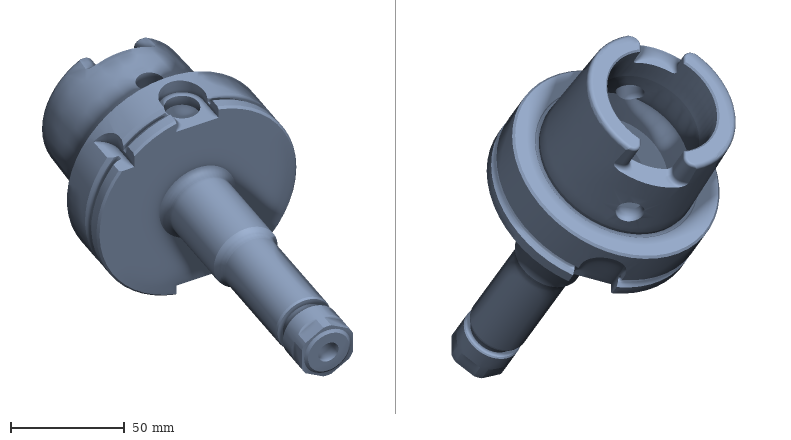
import cadquery as cq
import math


TAPER_TIP_R = 35.8
TAPER_END_R = 37.8
TAPER_END_X = 48.0
TIP_ROUND = 2.2
RELIEF_R = 37.5
RELIEF_FACE_R = 39.5
RELIEF_DEPTH = 0.5

FLANGE_R = 50.0
FLANGE_X = 49.5
FLANGE_END_X = 79.0
FLANGE_CHAMFER = 1.0
GROOVE_R = 46.2
GROOVE_LIP_R = 48.0
GROOVE_FLOOR_X = 68.8
GROOVE_FLOOR_END_X = 71.2
GROOVE_FRONT_FLARE = 1.5
GROOVE_REAR_WALL = 0.5
GROOVE_REAR_FLARE = 1.5

SHANK_R = 16.0
SHANK_X = 83.5
SHANK_END_X = 123.5
SHANK_ROOT_ARC = 5.0
NOSE_R = 13.8
NOSE_X = 129.5
NOSE_END_X = 177.8
NOSE_CHAMFER_LENGTH = 1.2
NOSE_CHAMFER_DROP = 0.5
NECK_R = 10.8

BORE_DIAMETER = 53.0
BORE_R = BORE_DIAMETER / 2
BORE_CHAMFER = 0.8
UNDERCUT_X = 20.0
UNDERCUT_R = 31.0
UNDERCUT_END_X = 40.0
BORE_FLOOR_X = 50.0
BORE_FLOOR_R = 24.8
POCKET_R = 10.5
POCKET_MOUTH_R = 12.5
POCKET_DEPTH = 12.0
COOLANT_R = 5.0
CROSS_HOLE_R = 6.5
CROSS_HOLE_X = 35.2

DRIVE_WIDTH = 20.8
DRIVE_TOP_DEPTH = 9.8
DRIVE_BOTTOM_DEPTH = 14.5
DRIVE_CORNER_Z = 31.5
DRIVE_CORNER_R = 4.0
DRIVE_FLOOR_FILLET = 2.2
DRIVE_EDGE_ROUND = 1.5

RIM_SLOT_WIDTH = 21.0
RIM_SLOT_R = RIM_SLOT_WIDTH / 2
RIM_SLOT_X = 64.8
RIM_SLOT_FLOOR_Z = 43.2
CHIP_HOLE_R = 8.0
CHIP_HOLE_DEPTH = 5.0
NOTCH_Y = -31.5
NOTCH_FLOOR_Z = 31.5

NUT_X = 182.8
NUT_END_X = 200.0
NUT_R = 13.8
NUT_CHAMFER = 0.5
NUT_RIM_X = 199.0
NUT_CONE_R = 11.5
NUT_FACE_R = 10.2
NUT_FLAT_COUNT = 6
NUT_FLAT_APOTHEM = 12.8
NUT_FLAT_X = 191.2
NUT_FLAT_HALF_WIDTH = 7.0

PAST = 4.0


def turned(profile):
    """Revolve a closed (x, radius) outline around the X axis."""
    return profile.close().revolve(360, (0, 0, 0), (1, 0, 0))


def holder_blank():
    """Taper, grooved flange and stepped front shank as one turned bar."""
    root_run = SHANK_X - FLANGE_END_X
    root_r = SHANK_R + SHANK_ROOT_ARC - math.sqrt(SHANK_ROOT_ARC**2 - root_run**2)
    step_run = NOSE_X - SHANK_END_X
    step_drop = SHANK_R - NOSE_R
    step_arc = (step_run**2 + step_drop**2) / (2 * step_drop)
    profile = (
        cq.Workplane("XY")
        .lineTo(0, TAPER_TIP_R)
        .lineTo(TAPER_END_X, TAPER_END_R)
        .lineTo(TAPER_END_X + RELIEF_DEPTH, RELIEF_R)
        .lineTo(FLANGE_X + RELIEF_DEPTH, RELIEF_R)
        .lineTo(FLANGE_X + RELIEF_DEPTH, RELIEF_FACE_R - RELIEF_DEPTH)
        .lineTo(FLANGE_X, RELIEF_FACE_R)
        .lineTo(FLANGE_X, FLANGE_R - FLANGE_CHAMFER)
        .lineTo(FLANGE_X + FLANGE_CHAMFER, FLANGE_R)
        .lineTo(GROOVE_FLOOR_X - GROOVE_FRONT_FLARE, FLANGE_R)
        .lineTo(GROOVE_FLOOR_X, GROOVE_LIP_R)
        .lineTo(GROOVE_FLOOR_X, GROOVE_R)
        .lineTo(GROOVE_FLOOR_END_X, GROOVE_R)
        .lineTo(GROOVE_FLOOR_END_X + GROOVE_REAR_WALL, GROOVE_LIP_R)
        .lineTo(GROOVE_FLOOR_END_X + GROOVE_REAR_WALL + GROOVE_REAR_FLARE, FLANGE_R)
        .lineTo(FLANGE_END_X - FLANGE_CHAMFER, FLANGE_R)
        .lineTo(FLANGE_END_X, FLANGE_R - FLANGE_CHAMFER)
        .lineTo(FLANGE_END_X, root_r)
        .radiusArc((SHANK_X, SHANK_R), -SHANK_ROOT_ARC)
        .lineTo(SHANK_END_X, SHANK_R)
        .radiusArc((NOSE_X, NOSE_R), -step_arc)
        .lineTo(NOSE_END_X - NOSE_CHAMFER_LENGTH, NOSE_R)
        .lineTo(NOSE_END_X, NOSE_R - NOSE_CHAMFER_DROP)
        .lineTo(NOSE_END_X, NECK_R)
        .lineTo(NUT_X, NECK_R)
        .lineTo(NUT_X, 0)
    )
    return turned(profile)


def holder_bore():
    """Clamping bore, chamfered floor pocket and coolant passage."""
    pocket_taper = POCKET_MOUTH_R - POCKET_R
    profile = (
        cq.Workplane("XY")
        .moveTo(-PAST, 0)
        .lineTo(-PAST, BORE_R + BORE_CHAMFER)
        .lineTo(0, BORE_R + BORE_CHAMFER)
        .lineTo(BORE_CHAMFER, BORE_R)
        .lineTo(UNDERCUT_X, BORE_R)
        .lineTo(UNDERCUT_END_X, UNDERCUT_R)
        .lineTo(BORE_FLOOR_X, BORE_FLOOR_R)
        .lineTo(BORE_FLOOR_X, POCKET_MOUTH_R)
        .lineTo(BORE_FLOOR_X + pocket_taper, POCKET_R)
        .lineTo(BORE_FLOOR_X + POCKET_DEPTH, POCKET_R)
        .lineTo(BORE_FLOOR_X + POCKET_DEPTH, COOLANT_R)
        .lineTo(NUT_X + PAST, COOLANT_R)
        .lineTo(NUT_X + PAST, 0)
    )
    return turned(profile)


def drive_slot(depth):
    """
    End slot on the +Z side, cut between two lands with rounded shoulders.

    A plate in front of the open end joins the slot cutter through a fillet, which rounds the
    edges of the lands.
    """
    half = DRIVE_WIDTH / 2
    straight_z = DRIVE_CORNER_Z - DRIVE_CORNER_R
    shoulder_y = half + DRIVE_CORNER_R
    mid_offset = DRIVE_CORNER_R * (1 - math.sqrt(0.5))
    mid_y = half + mid_offset
    mid_z = DRIVE_CORNER_Z - mid_offset
    reach = TAPER_END_R + PAST
    plate = cq.Workplane("XY").box(PAST, 2 * reach, reach, centered=False).translate((-PAST, -reach, 0))
    slot = (
        cq.Workplane("YZ")
        .moveTo(-half, 0)
        .lineTo(-half, straight_z)
        .threePointArc((-mid_y, mid_z), (-shoulder_y, DRIVE_CORNER_Z))
        .lineTo(-reach, DRIVE_CORNER_Z)
        .lineTo(-reach, reach)
        .lineTo(reach, reach)
        .lineTo(reach, DRIVE_CORNER_Z)
        .lineTo(shoulder_y, DRIVE_CORNER_Z)
        .threePointArc((mid_y, mid_z), (half, straight_z))
        .lineTo(half, 0)
        .close()
        .extrude(depth)
        .edges(">X and (not <Z) and (not >Z)")
        .fillet(DRIVE_FLOOR_FILLET)
    )
    edge_zone = cq.selectors.BoxSelector(
        (-DRIVE_EDGE_ROUND / 2, -TAPER_END_R, DRIVE_EDGE_ROUND), (DRIVE_EDGE_ROUND / 2, TAPER_END_R, reach)
    )
    return slot.union(plate).edges(edge_zone).fillet(DRIVE_EDGE_ROUND)


def turned_over(body):
    """Half a turn around the X axis, from the +Z side to the -Z side."""
    return body.rotate((0, 0, 0), (1, 0, 0), 180)


def rim_slot(center_y, floor_z):
    """Round-ended slot milled down from +Z and open at the rear of the flange."""
    height = FLANGE_R + PAST - floor_z
    run = FLANGE_END_X + PAST - RIM_SLOT_X
    base = cq.Workplane("XY", origin=(RIM_SLOT_X, center_y, floor_z))
    round_end = base.circle(RIM_SLOT_R).extrude(height)
    channel = base.center(run / 2, 0).rect(run, RIM_SLOT_WIDTH).extrude(height)
    return round_end.union(channel)


def cross_hole():
    """Hole through both walls of the taper, along Z."""
    base = cq.Workplane("XY", origin=(CROSS_HOLE_X, 0, -FLANGE_R))
    return base.circle(CROSS_HOLE_R).extrude(2 * FLANGE_R)


def chip_hole():
    """Shallow blind hole in the floor of the upper rim slot."""
    base = cq.Workplane("XY", origin=(RIM_SLOT_X, 0, RIM_SLOT_FLOOR_Z - CHIP_HOLE_DEPTH))
    return base.circle(CHIP_HOLE_R).extrude(CHIP_HOLE_DEPTH + PAST)


def make_holder():
    """Tool holder: hollow taper, slotted flange and front shank."""
    holder = holder_blank().faces("<X").edges().fillet(TIP_ROUND)
    key_slot = rim_slot(0, RIM_SLOT_FLOOR_Z)
    corner_notch = rim_slot(NOTCH_Y - RIM_SLOT_R, NOTCH_FLOOR_Z)
    cutters = [
        holder_bore(),
        drive_slot(DRIVE_TOP_DEPTH),
        turned_over(drive_slot(DRIVE_BOTTOM_DEPTH)),
        cross_hole(),
        key_slot,
        turned_over(key_slot),
        chip_hole(),
        corner_notch,
    ]
    for cutter in cutters:
        holder = holder.cut(cutter)
    return holder


def nut_flat():
    """Cutter for the flat on the -Y side, ramping in at 45 degrees."""
    depth = NUT_R - NUT_FLAT_APOTHEM
    return (
        cq.Workplane("XY", origin=(0, 0, -NUT_FLAT_HALF_WIDTH))
        .moveTo(NUT_FLAT_X - PAST, -NUT_R - PAST)
        .lineTo(NUT_FLAT_X, -NUT_R)
        .lineTo(NUT_FLAT_X + depth, -NUT_FLAT_APOTHEM)
        .lineTo(NUT_END_X, -NUT_FLAT_APOTHEM)
        .lineTo(NUT_END_X, -NUT_R - PAST)
        .close()
        .extrude(2 * NUT_FLAT_HALF_WIDTH)
    )


def make_nut():
    """Collet nut that butts against the neck of the holder, with six wrench flats."""
    profile = (
        cq.Workplane("XY")
        .moveTo(NUT_X, COOLANT_R)
        .lineTo(NUT_X, NUT_R - NUT_CHAMFER)
        .lineTo(NUT_X + NUT_CHAMFER, NUT_R)
        .lineTo(NUT_RIM_X, NUT_R)
        .lineTo(NUT_RIM_X, NUT_CONE_R)
        .lineTo(NUT_END_X, NUT_FACE_R)
        .lineTo(NUT_END_X, COOLANT_R)
    )
    nut = turned(profile)
    for index in range(NUT_FLAT_COUNT):
        angle = index * 360 / NUT_FLAT_COUNT
        nut = nut.cut(nut_flat().rotate((0, 0, 0), (1, 0, 0), angle))
    return nut


holder = make_holder()
nut = make_nut()
result = cq.Compound.makeCompound([holder.val(), nut.val()])